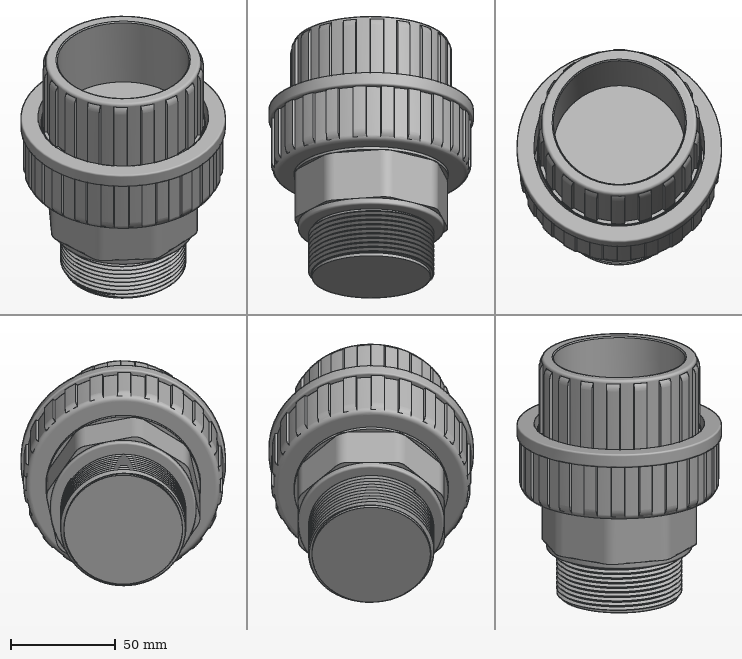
import cadquery as cq
import math

total_height = 119.5
nut_top = 86.2
nut_bottom = 52.6
joint_height = 64.5
octagon_top = 51.3
disc_top = 27.1
disc_bottom = 24.0

rib_base_width = 6.6
rib_tip_width = 6.1
rib_root_depth = 2.4
rib_trim = 1.2
rib_end_radius = 5.0

socket_radius = 37.2
socket_rim_fillet = 1.4
socket_rib_radius = 38.5
socket_rib_count = 18
bore_diameter = 63.0
bore_chamfer = 0.6
bore_floor = 84.4
collar_diameter = 78.5
collar_top = nut_top - 2.9
collar_chamfer = 0.3

flange_diameter = 97.9
flange_height = 6.6
flange_fillet = 0.8
nut_radius = 46.5
nut_bottom_fillet = 2.4
nut_rib_radius = 47.7
nut_rib_count = 22
nut_bore_diameter = 81.5
neck_hole_diameter = 74.0
neck_hole_depth = 4.8

neck_diameter = 73.5
octagon_width = 69.8
octagon_corner_radius = 7.7
disc_diameter = octagon_width
disc_fillet = 1.0
thread_core_diameter = 56.7
thread_crest_diameter = 60.0
thread_turns_height = 20.8
thread_pitch = thread_turns_height / 9
thread_turns = 10.5
thread_start = 1.5
thread_base_height = 2.0
thread_root_depth = 0.18


def cylinder(diameter, bottom, top):
    """Upright cylinder on the Z axis between two heights."""
    return cq.Workplane("XY").workplane(offset=bottom).circle(diameter / 2).extrude(top - bottom)


def rib_bars(count, wall_radius, tip_radius, bottom, top):
    """Ring of upright bars that narrow outwards, one of them facing -Y."""
    root_radius = wall_radius - rib_root_depth
    flare = (rib_base_width - rib_tip_width) / 2 / (tip_radius - wall_radius)
    half_root = rib_base_width / 2 + flare * rib_root_depth
    outer_radius = tip_radius + rib_trim
    half_outer = rib_tip_width / 2 - flare * rib_trim
    bar = (
        cq.Workplane("XY")
        .workplane(offset=bottom)
        .polyline([
            (-half_root, -root_radius),
            (half_root, -root_radius),
            (half_outer, -outer_radius),
            (-half_outer, -outer_radius),
        ])
        .close()
        .extrude(top - bottom)
    )
    bars = cq.Workplane("XY")
    for index in range(count):
        bars.add(bar.rotate((0, 0, 0), (0, 0, 1), 360 * index / count))
    return bars.combine()


def ribs(count, wall_radius, tip_radius, plain_end, rounded_end):
    """Grip ribs between two heights, rounded off at one end."""
    bottom = min(plain_end, rounded_end)
    top = max(plain_end, rounded_end)
    envelope = cylinder(2 * tip_radius, bottom, top)
    rounded_edge = ">Z" if rounded_end > plain_end else "<Z"
    envelope = envelope.faces(rounded_edge).edges().fillet(rib_end_radius)
    return rib_bars(count, wall_radius, tip_radius, bottom, top).intersect(envelope)


def make_socket():
    wall = cylinder(2 * socket_radius, collar_top, total_height)
    wall = wall.faces(">Z").edges().fillet(socket_rim_fillet)
    collar = cylinder(collar_diameter, joint_height, collar_top)
    collar = collar.faces(">Z").edges().chamfer(collar_chamfer)
    grip = ribs(socket_rib_count, socket_radius, socket_rib_radius, collar_top, total_height)
    bore = cylinder(bore_diameter, bore_floor, total_height)
    body = wall.union(grip).union(collar).cut(bore)
    mouth = cq.selectors.RadiusNthSelector(0)
    return body.faces(">Z").edges(mouth).chamfer(bore_chamfer)


def make_nut():
    flange_bottom = nut_top - flange_height
    flange = cylinder(flange_diameter, flange_bottom, nut_top).edges().fillet(flange_fillet)
    wall = cylinder(2 * nut_radius, nut_bottom, nut_top - flange_height / 2)
    wall = wall.faces("<Z").edges().fillet(nut_bottom_fillet)
    grip = ribs(nut_rib_count, nut_radius, nut_rib_radius, nut_top - flange_height / 2, nut_bottom)
    neck_hole = cylinder(neck_hole_diameter, nut_bottom, nut_top)
    bore = cylinder(nut_bore_diameter, nut_bottom + neck_hole_depth, nut_top)
    return flange.union(wall).union(grip).cut(neck_hole).cut(bore)


def make_thread():
    """Right-hand helical ridge with a triangular section, its crest on the start plane at +X."""
    core_radius = thread_core_diameter / 2
    crest_radius = thread_crest_diameter / 2
    root_radius = core_radius - thread_root_depth
    flank = thread_base_height / 2 / (crest_radius - core_radius)
    half_root = flank * (crest_radius - root_radius)
    helix_start = thread_start - thread_pitch
    helix = cq.Wire.makeHelix(
        thread_pitch, thread_pitch * thread_turns, core_radius, cq.Vector(0, 0, helix_start)
    )
    section = cq.Workplane("XZ").polyline([
        (root_radius, helix_start - half_root),
        (crest_radius, helix_start),
        (root_radius, helix_start + half_root),
    ]).close()
    ridge = section.sweep(cq.Workplane(helix), isFrenet=True)
    return ridge.intersect(cylinder(disc_diameter, thread_start, disc_bottom))


def make_octagon():
    """Octagonal grip with rounded corners and flats facing the X and Y axes."""
    corner_radius = octagon_width / 2 / math.cos(math.pi / 8)
    corner_angles = [math.pi / 8 + math.pi / 4 * index for index in range(8)]
    corners = [(corner_radius * math.cos(a), corner_radius * math.sin(a)) for a in corner_angles]
    prism = (
        cq.Workplane("XY").workplane(offset=disc_top)
        .polyline(corners).close().extrude(octagon_top - disc_top)
    )
    return prism.edges("|Z").fillet(octagon_corner_radius)


def make_adapter():
    seat = nut_bottom + neck_hole_depth
    head = cylinder(collar_diameter, seat, joint_height)
    neck = cylinder(neck_diameter, octagon_top, seat)
    disc = cylinder(disc_diameter, disc_bottom, disc_top).faces("<Z").edges().fillet(disc_fillet)
    core = cylinder(thread_core_diameter, 0, disc_bottom)
    body = head.union(neck).union(make_octagon()).union(disc).union(core)
    return body.union(make_thread())


socket = make_socket()
nut = make_nut()
adapter = make_adapter()

result = cq.Compound.makeCompound([
    socket.solids().val(),
    nut.solids().val(),
    adapter.solids().val(),
])